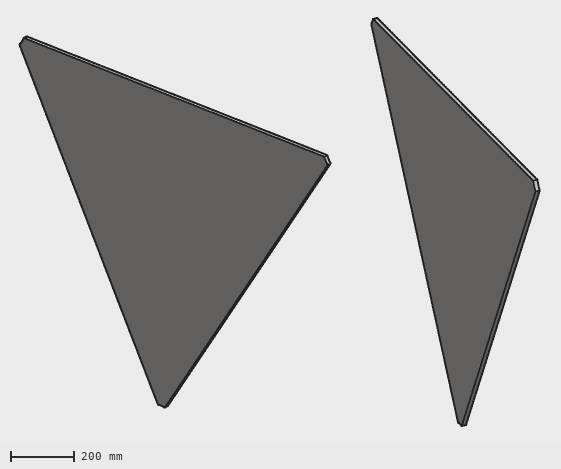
import cadquery as cq
import math

leg_length = 1407.97
apex_angle = math.radians(62.554)
hub_radius = 90.0
edge_inset = 31.0
panel_thickness = 15.0

left_hub = (0, 0)
right_hub = (leg_length, 0)
bottom_hub = (leg_length * math.cos(apex_angle), -leg_length * math.sin(apex_angle))
hubs = [left_hub, right_hub, bottom_hub]


def make_blank():
    """Triangular plate whose edges lie parallel to and inside the hub-to-hub lines."""
    return (
        cq.Workplane("XZ")
        .polyline(hubs)
        .close()
        .offset2D(-edge_inset)
        .extrude(panel_thickness)
    )


def cut_hub_reliefs(panel):
    """Scallop every corner with a round cut centred on its hub."""
    reliefs = (
        cq.Workplane("XZ")
        .pushPoints(hubs)
        .circle(hub_radius)
        .extrude(panel_thickness)
    )
    return panel.cut(reliefs)


def centre_on_origin(panel):
    """Move the middle of the panel's envelope to the origin."""
    middle = panel.val().BoundingBox().center
    return panel.translate(middle.multiply(-1))


result = centre_on_origin(cut_hub_reliefs(make_blank()))